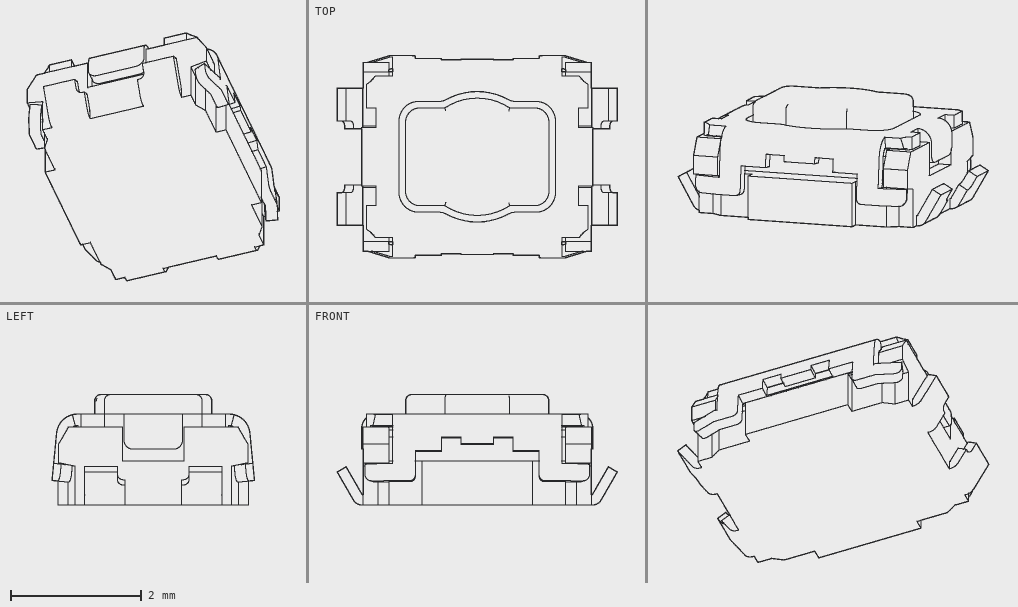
import cadquery as cq
import math

BASE_HALF_X = 1.75
BASE_SIDE_HALF_Y = 1.2
BASE_FRONT_HALF_Y = 1.305
BASE_TOP = 1.2
CORNER_BEVEL_OUTER_X = 1.52
CORNER_BEVEL_INNER_X = 1.355
BOSS_HALF_X = 0.85
BOSS_HALF_Y = 1.465
BOSS_TOP = 0.68
LUG_HALF_Y = 1.45
LUG_TOP_HALF_Y = 1.3
LUG_BEVEL_Z = 0.94
LUG_OUTER_BOTTOM = 0.65
LUG_INNER_BOTTOM = 0.6
POCKET_HALF_Y = 0.47
POCKET_BOTTOM = 0.68
POCKET_WALL_X = 1.55

LEDGE_Z = BOSS_TOP
RECESS_WALL_Y = 1.06
RECESS_BEVEL_BOTTOM = 1.05
RECESS_BEVEL_TOP = 1.155
RECESS_TOP_Y = 1.0

SHEET = 0.18
COVER_TOP = 1.4
COVER_BOTTOM = COVER_TOP - SHEET
COVER_HALF_X = 1.7
COVER_EDGE_HALF_Y = 1.24
COVER_CORNER_X = 1.563
COVER_CORNER_Y = 1.11
COVER_KINK_X = 1.635
COVER_KINK_Y = 1.158
RELIEF_HALF_Y = 0.75
WINDOW_HALF_X = 1.2
WINDOW_HALF_Y = 0.85
WINDOW_BULGE_RADIUS = 1.0
WINDOW_CORNER_RADIUS = 0.3
WINDOW_BLEND_RADIUS = 0.2

SPLAY = math.radians(5.5)
FLANGE_HALF_X = 1.3
FLANGE_HALF_Y = 1.555
FLANGE_BOTTOM = 0.378
FLANGE_BEND_RADIUS = 0.325
NOTCH_HALF_X = 0.95
NOTCH_HEIGHT = 0.464
STEP_HALF_X = 0.55
STEP_HEIGHT = 0.67
TONGUE_HALF_X = 0.25
TONGUE_HEIGHT = 0.575
FLANGE_CORNER_RADIUS = 0.085

EAR_FOLD = math.radians(17)
EAR_FOLD_X = 1.34
EAR_END_X = 1.725
EAR_HEIGHT = 0.265
EAR_CORNER_RADIUS = 0.12

CLIP_HALF_Y = 0.45
CLIP_BEND_START_X = 1.55
CLIP_BEND_RADIUS = 0.225
CLIP_BOTTOM = 0.86
CLIP_CORNER_RADIUS = 0.14

BUTTON_TOP = 1.7
BUTTON_HALF_X = 1.1
BUTTON_HALF_Y = 0.75
BUTTON_BULGE_RADIUS = 0.9
BUTTON_CORNER_RADIUS = 0.22
BUTTON_EDGE_RADIUS = 0.1

TERMINAL_SHEET = 0.16
TERMINAL_TIP_X = 2.15
TERMINAL_LEAN = math.radians(30)
TERMINAL_OUTER_Y = 1.052
TERMINAL_ROOT_INNER_Y = 0.43
TERMINAL_TIP_INNER_Y = 0.548
TERMINAL_TIP_Z = 0.51
TERMINAL_SHOULDER_Z = 0.31
TERMINAL_SHOULDER_RADIUS = 0.09
TERMINAL_ROOT_X = 1.5


def box(x_min, x_max, y_min, y_max, z_min, z_max):
    size = (x_max - x_min, y_max - y_min, z_max - z_min)
    return cq.Workplane("XY").box(*size, centered=False).translate((x_min, y_min, z_min))


def with_mirror(shape, plane):
    return shape.union(shape.mirror(plane))


def bulged_rectangle(half_x, half_y, corner_radius, bulge_radius, z_min, z_max):
    """Rounded rectangle whose long sides are bulged by a centred circle."""
    height = z_max - z_min
    rectangle = cq.Workplane("XY").box(2 * half_x, 2 * half_y, height, centered=(True, True, False))
    rectangle = rectangle.edges("|Z").fillet(corner_radius)
    disc = cq.Workplane("XY").circle(bulge_radius).extrude(height)
    disc = disc.intersect(box(-half_x, half_x, -bulge_radius, bulge_radius, 0, height))
    return rectangle.union(disc).translate((0, 0, z_min))


def make_base():
    quarter = (
        cq.Workplane("XY")
        .polyline([
            (0, 0),
            (BASE_HALF_X, 0),
            (BASE_HALF_X, BASE_SIDE_HALF_Y),
            (CORNER_BEVEL_OUTER_X, BASE_SIDE_HALF_Y),
            (CORNER_BEVEL_INNER_X, BASE_FRONT_HALF_Y),
            (0, BASE_FRONT_HALF_Y),
        ])
        .close()
        .extrude(BASE_TOP)
    )
    lug = (
        cq.Workplane("YZ", origin=(CORNER_BEVEL_INNER_X, 0, 0))
        .polyline([
            (0, BASE_TOP),
            (LUG_TOP_HALF_Y, BASE_TOP),
            (LUG_HALF_Y, LUG_BEVEL_Z),
            (LUG_HALF_Y, LUG_OUTER_BOTTOM),
            (BASE_SIDE_HALF_Y, LUG_INNER_BOTTOM),
            (0, LUG_INNER_BOTTOM),
        ])
        .close()
        .extrude(BASE_HALF_X - CORNER_BEVEL_INNER_X)
    )
    boss = box(0, BOSS_HALF_X, 0, BOSS_HALF_Y, 0, BOSS_TOP)
    pocket = box(POCKET_WALL_X, BASE_HALF_X, 0, POCKET_HALF_Y, POCKET_BOTTOM, BASE_TOP)
    recess = (
        cq.Workplane("YZ")
        .polyline([
            (BOSS_HALF_Y, LEDGE_Z),
            (RECESS_WALL_Y, LEDGE_Z),
            (RECESS_WALL_Y, RECESS_BEVEL_BOTTOM),
            (RECESS_TOP_Y, RECESS_BEVEL_TOP),
            (RECESS_TOP_Y, BASE_TOP),
            (BOSS_HALF_Y, BASE_TOP),
        ])
        .close()
        .extrude(CORNER_BEVEL_INNER_X)
    )
    quarter = quarter.union(lug).union(boss).cut(pocket).cut(recess)
    return with_mirror(with_mirror(quarter, "YZ"), "XZ")


def bent_sheet(plane, bend_start, bend_radius, turn, leg, half_width):
    """Sheet running outward under the cover top, bent down by an angle and ended by a straight leg."""
    centre_z = COVER_TOP - bend_radius

    def on_bend(radius, angle):
        return (bend_start + radius * math.sin(angle), centre_z + radius * math.cos(angle))

    def leg_end(radius):
        across, up = on_bend(radius, turn)
        return (across + leg * math.cos(turn), up - leg * math.sin(turn))

    inner_radius = bend_radius - SHEET
    return (
        cq.Workplane(plane)
        .moveTo(0, COVER_TOP)
        .lineTo(bend_start, COVER_TOP)
        .threePointArc(on_bend(bend_radius, turn / 2), on_bend(bend_radius, turn))
        .lineTo(*leg_end(bend_radius))
        .lineTo(*leg_end(inner_radius))
        .lineTo(*on_bend(inner_radius, turn))
        .threePointArc(on_bend(inner_radius, turn / 2), on_bend(inner_radius, 0))
        .lineTo(0, COVER_BOTTOM)
        .close()
        .extrude(half_width, both=True)
    )


def make_ear():
    """Ear at the +X end of the +Y flange, standing along the splayed leg."""
    fold_x = EAR_FOLD_X - FLANGE_HALF_X
    end_x = EAR_END_X - FLANGE_HALF_X
    end_y = -(end_x - fold_x) * math.tan(EAR_FOLD)
    splayed = cq.Plane(
        origin=(FLANGE_HALF_X, FLANGE_HALF_Y, FLANGE_BOTTOM),
        xDir=(1, 0, 0),
        normal=(0, -math.sin(SPLAY), math.cos(SPLAY)),
    )
    ear = (
        cq.Workplane(splayed)
        .polyline([
            (0, 0),
            (fold_x, 0),
            (end_x, end_y),
            (end_x - SHEET * math.sin(EAR_FOLD), end_y - SHEET * math.cos(EAR_FOLD)),
            (fold_x - SHEET * math.tan(EAR_FOLD / 2), -SHEET),
            (0, -SHEET),
        ])
        .close()
        .extrude(EAR_HEIGHT)
    )
    end_middle = cq.selectors.NearestToPointSelector(
        (EAR_END_X, FLANGE_HALF_Y + end_y, FLANGE_BOTTOM + EAR_HEIGHT / 2)
    )
    return ear.faces(end_middle).edges("<Z").fillet(EAR_CORNER_RADIUS)


def make_long_flange():
    """Splayed flange at +Y with its stepped notch and folded ears."""
    turn = math.pi / 2 - SPLAY
    bend_end_z = COVER_TOP - FLANGE_BEND_RADIUS * (1 - math.cos(turn))
    leg = (bend_end_z - FLANGE_BOTTOM) / math.cos(SPLAY)
    bend_start = FLANGE_HALF_Y - leg * math.sin(SPLAY) - FLANGE_BEND_RADIUS * math.sin(turn)
    flange = bent_sheet("YZ", bend_start, FLANGE_BEND_RADIUS, turn, leg, COVER_HALF_X)
    outline = (
        cq.Workplane("XY")
        .polyline([
            (0, 0),
            (COVER_HALF_X, 0),
            (COVER_HALF_X, COVER_CORNER_Y),
            (COVER_KINK_X, COVER_KINK_Y),
            (COVER_CORNER_X, COVER_EDGE_HALF_Y),
            (FLANGE_HALF_X, COVER_EDGE_HALF_Y),
            (FLANGE_HALF_X, FLANGE_HALF_Y),
            (0, FLANGE_HALF_Y),
        ])
        .close()
        .extrude(COVER_TOP)
    )
    bend_centre_z = COVER_TOP - FLANGE_BEND_RADIUS
    edge_angle = math.asin((COVER_EDGE_HALF_Y - bend_start) / FLANGE_BEND_RADIUS)
    edge_bevel = (
        cq.Workplane("YZ", origin=(FLANGE_HALF_X, 0, 0))
        .polyline([
            (bend_start, bend_centre_z),
            (COVER_EDGE_HALF_Y, bend_centre_z + FLANGE_BEND_RADIUS * math.cos(edge_angle)),
            (COVER_EDGE_HALF_Y, bend_centre_z),
        ])
        .close()
        .extrude(COVER_HALF_X - FLANGE_HALF_X)
    )
    outline = outline.cut(edge_bevel)
    clearance = box(0, COVER_HALF_X, 0, RELIEF_HALF_Y, 0, COVER_TOP)
    flange = flange.intersect(with_mirror(outline.cut(clearance), "YZ"))

    leg_face = cq.Plane(
        origin=(0, FLANGE_HALF_Y, FLANGE_BOTTOM),
        xDir=(1, 0, 0),
        normal=(0, -math.cos(SPLAY), -math.sin(SPLAY)),
    )
    notch = (
        cq.Workplane(leg_face)
        .moveTo(0, -SHEET)
        .lineTo(NOTCH_HALF_X, -SHEET)
        .lineTo(NOTCH_HALF_X, NOTCH_HEIGHT)
        .lineTo(STEP_HALF_X, NOTCH_HEIGHT)
        .lineTo(STEP_HALF_X, STEP_HEIGHT)
        .lineTo(TONGUE_HALF_X, STEP_HEIGHT)
        .lineTo(TONGUE_HALF_X, TONGUE_HEIGHT)
        .lineTo(0, TONGUE_HEIGHT)
        .close()
        .extrude(SHEET)
    )
    flange = flange.cut(with_mirror(notch, "YZ"))
    for side in (-1, 1):
        corner = cq.selectors.NearestToPointSelector(
            (side * NOTCH_HALF_X, FLANGE_HALF_Y, FLANGE_BOTTOM - SHEET)
        )
        flange = flange.edges("#X").edges(corner).fillet(FLANGE_CORNER_RADIUS)
    return flange.union(with_mirror(make_ear(), "YZ"))


def make_clip():
    """Short vertical flange at +X."""
    leg = COVER_TOP - CLIP_BEND_RADIUS - CLIP_BOTTOM
    clip = bent_sheet("XZ", CLIP_BEND_START_X, CLIP_BEND_RADIUS, math.pi / 2, leg, CLIP_HALF_Y)
    return clip.faces("<Z").edges("|X").fillet(CLIP_CORNER_RADIUS)


def make_cover():
    quarter = (
        cq.Workplane("XY", origin=(0, 0, BASE_TOP))
        .polyline([
            (0, 0),
            (CLIP_BEND_START_X, 0),
            (CLIP_BEND_START_X, RELIEF_HALF_Y),
            (COVER_HALF_X, RELIEF_HALF_Y),
            (COVER_HALF_X, COVER_CORNER_Y),
            (COVER_KINK_X, COVER_KINK_Y),
            (0, COVER_KINK_Y),
        ])
        .close()
        .extrude(COVER_TOP - BASE_TOP)
    )
    plate = with_mirror(with_mirror(quarter, "YZ"), "XZ")
    cover = plate.union(with_mirror(make_long_flange(), "XZ")).union(with_mirror(make_clip(), "YZ"))
    return cover.cut(make_window())


def make_window():
    window = bulged_rectangle(
        WINDOW_HALF_X, WINDOW_HALF_Y, WINDOW_CORNER_RADIUS, WINDOW_BULGE_RADIUS, BASE_TOP, COVER_TOP
    )
    blend_x = math.sqrt(WINDOW_BULGE_RADIUS**2 - WINDOW_HALF_Y**2)
    middle_z = (BASE_TOP + COVER_TOP) / 2
    for x in (-blend_x, blend_x):
        for y in (-WINDOW_HALF_Y, WINDOW_HALF_Y):
            crease = cq.selectors.NearestToPointSelector((x, y, middle_z))
            window = window.edges("|Z").edges(crease).fillet(WINDOW_BLEND_RADIUS)
    return window


def make_button():
    button = bulged_rectangle(
        BUTTON_HALF_X, BUTTON_HALF_Y, BUTTON_CORNER_RADIUS, BUTTON_BULGE_RADIUS, BASE_TOP, BUTTON_TOP
    )
    return button.faces(">Z").edges().fillet(BUTTON_EDGE_RADIUS)


def make_terminal():
    """Terminal at +X, +Y: a strip leaving the base floor and leaning outward as it rises."""
    lean_run = math.tan(TERMINAL_LEAN)
    arc_end_z = TERMINAL_SHEET * (1 - math.sin(TERMINAL_LEAN))
    arc_end_x = TERMINAL_TIP_X - (TERMINAL_TIP_Z - arc_end_z) * lean_run
    bend_x = arc_end_x - TERMINAL_SHEET * math.cos(TERMINAL_LEAN)
    half_turn = (math.pi / 2 - TERMINAL_LEAN) / 2
    arc_middle = (
        bend_x + TERMINAL_SHEET * math.sin(half_turn),
        TERMINAL_SHEET * (1 - math.cos(half_turn)),
    )
    inner_tip = (
        TERMINAL_TIP_X - TERMINAL_SHEET * math.cos(TERMINAL_LEAN),
        TERMINAL_TIP_Z + TERMINAL_SHEET * math.sin(TERMINAL_LEAN),
    )
    strip = (
        cq.Workplane("XZ", origin=(0, TERMINAL_ROOT_INNER_Y, 0))
        .moveTo(TERMINAL_ROOT_X, 0)
        .lineTo(bend_x, 0)
        .threePointArc(arc_middle, (arc_end_x, arc_end_z))
        .lineTo(TERMINAL_TIP_X, TERMINAL_TIP_Z)
        .lineTo(*inner_tip)
        .lineTo(bend_x, TERMINAL_SHEET)
        .lineTo(TERMINAL_ROOT_X, TERMINAL_SHEET)
        .close()
        .extrude(TERMINAL_ROOT_INNER_Y - TERMINAL_OUTER_Y)
    )
    shoulder_x = TERMINAL_TIP_X - (TERMINAL_TIP_Z - TERMINAL_SHOULDER_Z) * lean_run
    leaning_face = cq.Plane(
        origin=(shoulder_x, TERMINAL_ROOT_INNER_Y, TERMINAL_SHOULDER_Z),
        xDir=(0, 1, 0),
        normal=(math.cos(TERMINAL_LEAN), 0, -math.sin(TERMINAL_LEAN)),
    )
    width = TERMINAL_TIP_INNER_Y - TERMINAL_ROOT_INNER_Y
    rise = TERMINAL_TIP_Z
    relief = (
        cq.Workplane(leaning_face)
        .lineTo(0, rise)
        .lineTo(width, rise)
        .lineTo(width, TERMINAL_SHOULDER_RADIUS)
        .radiusArc((width - TERMINAL_SHOULDER_RADIUS, 0), TERMINAL_SHOULDER_RADIUS)
        .close()
        .extrude(-TERMINAL_SHEET)
    )
    return strip.cut(relief)


def make_terminals():
    return with_mirror(with_mirror(make_terminal(), "XZ"), "YZ")


result = make_base().union(make_cover()).union(make_button()).union(make_terminals())